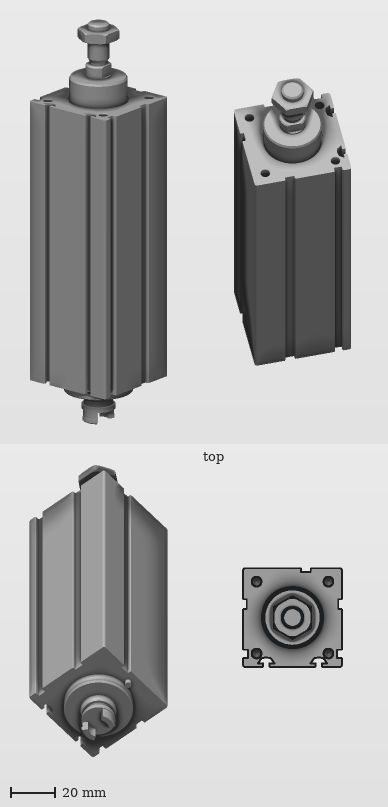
import cadquery as cq
import math

ROD_TOP = 189.8
NUT_TOP = 186.8
NUT_BOTTOM = 182.2
THREAD_BOTTOM = 173.1
NECK_TOP = 171.4
FLATS_TOP = 170.3
FLATS_BOTTOM = 165.1
COLLAR_TOP = 164.4
HOUSING_TOP = 153.2
HOUSING_BOTTOM = 20.0
RING_BOTTOM = 14.2
HUB_BOTTOM = 5.7

PLUS_X_SIDE = 90
PLUS_Y_SIDE = 180
MINUS_X_SIDE = 270

HOUSING_WIDTH = 45.0
HALF_WIDTH = HOUSING_WIDTH / 2
HOUSING_CORNER_RADIUS = 1.1
HOUSING_LENGTH = HOUSING_TOP - HOUSING_BOTTOM

MOUTH_CHAMFER = 0.4

SENSOR_SLOT_WIDTH = 4.4
SENSOR_SLOT_DEPTH = 1.7
SENSOR_SLOT_OFFSET = 6.0

LOW_SLOT_WIDTH = 3.6
LOW_SLOT_DEPTH = 2.3
LOW_SLOT_OFFSET = -16.5

T_SLOT_X = 12.0
T_SLOT_MOUTH_WIDTH = 2.8
T_SLOT_LIP = 1.7
T_SLOT_WIDTH = 7.4
T_SLOT_ROOF_WIDTH = 4.2
T_SLOT_SHOULDER = 4.0
T_SLOT_APEX = 4.4

CORNER_HOLE_OFFSET = 16.3
CORNER_HOLE_DIAMETER = 4.2
CORNER_HOLE_MOUTH = 4.5
CORNER_HOLE_DEPTH = 9.5
DRILL_POINT_ANGLE = 118.0

RECESS_DIAMETER = 27.9
RECESS_DEPTH = 1.0

COLLAR_DIAMETER = 26.5
COLLAR_CHAMFER = 0.5
COLLAR_CHAMFER_HEIGHT = 1.0
COLLAR_BOTTOM = HOUSING_TOP - RECESS_DEPTH

ROD_DIAMETER = 12.0
ROD_FLATS = 9.9
ROD_SHOULDER_CHAMFER = 0.5
THREAD_DIAMETER = 9.9
THREAD_TIP_CHAMFER = 0.8
NECK_DIAMETER = 8.0
NUT_SIDES = 6
NUT_ACROSS_FLATS = 16.9
NUT_FACE_DIAMETER = 17.7
NUT_BEVEL_ANGLE = 30

RING_DIAMETER = 31.5
RING_GROOVE_DIAMETER = 30.4
RING_GROOVE_TOP = 18.2
RING_GROOVE_BOTTOM = 17.0
RING_BAND_TOP = 15.4
RING_CHAMFER = 0.4

HUB_SHOULDER_DIAMETER = 16.5
HUB_SHOULDER_BOTTOM = 12.5
HUB_TAPER_BOTTOM = 10.8
HUB_DIAMETER = 15.4
HUB_NECK_DIAMETER = 13.3
HUB_NECK_BOTTOM = 8.0
CLAW_DIAMETER = 14.8
CLAW_LIP_TOP = 2.3
CLAW_INNER_DIAMETER = 9.5
CLAW_WIDTH = 8.5
CLAW_CHAMFER = 0.5

DOWEL_DIAMETER = 3.0
DOWEL_Y = 17.7
DOWEL_BOTTOM = 17.5


def revolved(radius_height_points):
    """Solid of revolution about Z; the points are (radius, z) and the axis closes the outline."""
    bottom = radius_height_points[0][1]
    top = radius_height_points[-1][1]
    return (
        cq.Workplane("XZ")
        .moveTo(0, bottom)
        .polyline(radius_height_points, includeCurrent=True)
        .lineTo(0, top)
        .close()
        .revolve(360, (0, 0), (0, 1))
    )


def mirrored_slot(right_half, middle=()):
    """Full-length cutter whose outline is right_half, then middle, then right_half mirrored in X."""
    left_half = [(-across, depth) for across, depth in reversed(right_half)]
    return (
        cq.Workplane("XY", origin=(0, 0, HOUSING_BOTTOM))
        .polyline([*right_half, *middle, *left_half])
        .close()
        .extrude(HOUSING_LENGTH)
    )


def side_slot(width, depth, offset, side_angle):
    """Full-length slot with a chamfered mouth.

    It is drawn opening at the -Y side, then turned about Z to the side at side_angle.
    """
    half = width / 2
    right_half = [(half + MOUTH_CHAMFER, 0), (half, MOUTH_CHAMFER), (half, depth)]
    slot = mirrored_slot(right_half).translate((offset, -HALF_WIDTH, 0))
    return slot.rotate((0, 0, 0), (0, 0, 1), side_angle)


def t_slot(x):
    """Full-length undercut slot opening at the -Y side."""
    mouth = T_SLOT_MOUTH_WIDTH / 2
    right_half = [
        (mouth + MOUTH_CHAMFER, 0),
        (mouth, MOUTH_CHAMFER),
        (mouth, T_SLOT_LIP),
        (T_SLOT_WIDTH / 2, T_SLOT_LIP),
        (T_SLOT_ROOF_WIDTH / 2, T_SLOT_SHOULDER),
    ]
    return mirrored_slot(right_half, [(0, T_SLOT_APEX)]).translate((x, -HALF_WIDTH, 0))


def corner_hole(x, y):
    """Blind drilled hole with a chamfered mouth and a conical bottom."""
    radius = CORNER_HOLE_DIAMETER / 2
    mouth_radius = CORNER_HOLE_MOUTH / 2
    bottom = HOUSING_TOP - CORNER_HOLE_DEPTH
    point_depth = radius / math.tan(math.radians(DRILL_POINT_ANGLE / 2))
    shaft = revolved([
        (radius, bottom),
        (radius, HOUSING_TOP - (mouth_radius - radius)),
        (mouth_radius, HOUSING_TOP),
    ])
    point = cq.Workplane(cq.Solid.makeCone(0, radius, point_depth, cq.Vector(0, 0, bottom - point_depth)))
    return shaft.union(point).translate((x, y, 0))


def make_housing():
    """Square profile with slots along its sides, corner holes and a recess for the collar."""
    body = (
        cq.Workplane("XY", origin=(0, 0, HOUSING_BOTTOM))
        .rect(HOUSING_WIDTH, HOUSING_WIDTH)
        .extrude(HOUSING_LENGTH)
        .edges("|Z")
        .fillet(HOUSING_CORNER_RADIUS)
    )
    body = body.cut(side_slot(SENSOR_SLOT_WIDTH, SENSOR_SLOT_DEPTH, -SENSOR_SLOT_OFFSET, PLUS_Y_SIDE))
    for side, side_angle in ((1, PLUS_X_SIDE), (-1, MINUS_X_SIDE)):
        sensor_offset = side * SENSOR_SLOT_OFFSET
        low_offset = side * LOW_SLOT_OFFSET
        body = body.cut(side_slot(SENSOR_SLOT_WIDTH, SENSOR_SLOT_DEPTH, sensor_offset, side_angle))
        body = body.cut(side_slot(LOW_SLOT_WIDTH, LOW_SLOT_DEPTH, low_offset, side_angle))
        body = body.cut(t_slot(side * T_SLOT_X))
        for end in (-1, 1):
            body = body.cut(corner_hole(side * CORNER_HOLE_OFFSET, end * CORNER_HOLE_OFFSET))
    recess = (
        cq.Workplane("XY", origin=(0, 0, COLLAR_BOTTOM))
        .circle(RECESS_DIAMETER / 2)
        .extrude(RECESS_DEPTH)
    )
    return body.cut(recess)


def make_collar():
    """Chamfered rod guide, standing in the housing recess with a gap around it."""
    radius = COLLAR_DIAMETER / 2
    body = revolved([
        (radius, COLLAR_BOTTOM),
        (radius, COLLAR_TOP - COLLAR_CHAMFER_HEIGHT),
        (radius - COLLAR_CHAMFER, COLLAR_TOP),
    ])
    bore = (
        cq.Workplane("XY", origin=(0, 0, COLLAR_BOTTOM))
        .circle(ROD_DIAMETER / 2)
        .extrude(COLLAR_TOP - COLLAR_BOTTOM)
    )
    return body.cut(bore)


def make_rod():
    """Piston rod: round shank, wrench flats, undercut neck and threaded end."""
    shank = ROD_DIAMETER / 2
    thread = THREAD_DIAMETER / 2
    neck = NECK_DIAMETER / 2
    body = revolved([
        (shank, COLLAR_BOTTOM),
        (shank, FLATS_TOP - ROD_SHOULDER_CHAMFER),
        (shank - ROD_SHOULDER_CHAMFER, FLATS_TOP),
        (neck, FLATS_TOP),
        (neck, NECK_TOP),
        (thread, THREAD_BOTTOM),
        (thread, ROD_TOP - THREAD_TIP_CHAMFER),
        (thread - THREAD_TIP_CHAMFER, ROD_TOP),
    ])
    for side in (-1, 1):
        flat = (
            cq.Workplane("XY", origin=(side * (ROD_FLATS + ROD_DIAMETER) / 2, 0, FLATS_BOTTOM))
            .rect(ROD_DIAMETER, ROD_DIAMETER)
            .extrude(FLATS_TOP - FLATS_BOTTOM)
        )
        body = body.cut(flat)
    return body


def make_nut():
    """Hexagon nut with two corners along Y and bevelled corners."""
    across_corners = NUT_ACROSS_FLATS / math.cos(math.pi / NUT_SIDES)
    prism = (
        cq.Workplane("XY", origin=(0, 0, NUT_BOTTOM))
        .transformed(rotate=(0, 0, 90))
        .polygon(NUT_SIDES, across_corners)
        .circle(THREAD_DIAMETER / 2)
        .extrude(NUT_TOP - NUT_BOTTOM)
    )
    corner = across_corners / 2
    face = NUT_FACE_DIAMETER / 2
    bevel_height = (corner - face) * math.tan(math.radians(NUT_BEVEL_ANGLE))
    bevels = revolved([
        (face, NUT_BOTTOM),
        (corner, NUT_BOTTOM + bevel_height),
        (corner, NUT_TOP - bevel_height),
        (face, NUT_TOP),
    ])
    return prism.intersect(bevels)


def make_rear_ring():
    """Ring under the housing with a V groove around it."""
    radius = RING_DIAMETER / 2
    return revolved([
        (radius - RING_CHAMFER, RING_BOTTOM),
        (radius, RING_BOTTOM + RING_CHAMFER),
        (radius, RING_BAND_TOP),
        (RING_GROOVE_DIAMETER / 2, RING_GROOVE_BOTTOM),
        (radius, RING_GROOVE_TOP),
        (radius, HOUSING_BOTTOM),
    ])


def make_claw_hub():
    """Stepped hub ending in two opposite drive claws, lipped at the tips, with radial sides."""
    radius = HUB_DIAMETER / 2
    neck = HUB_NECK_DIAMETER / 2
    claw = CLAW_DIAMETER / 2
    hub = revolved([
        (radius, HUB_BOTTOM),
        (radius, HUB_NECK_BOTTOM),
        (neck, HUB_NECK_BOTTOM),
        (neck, HUB_TAPER_BOTTOM),
        (radius, HUB_TAPER_BOTTOM),
        (HUB_SHOULDER_DIAMETER / 2, HUB_SHOULDER_BOTTOM),
        (HUB_SHOULDER_DIAMETER / 2, RING_BOTTOM),
    ])
    half_angle = math.asin(CLAW_WIDTH / HUB_DIAMETER)
    wedge_x = HUB_DIAMETER * math.sin(half_angle)
    wedge_y = HUB_DIAMETER * math.cos(half_angle)
    claw_ring = revolved([
        (radius - CLAW_CHAMFER, 0),
        (radius, CLAW_CHAMFER),
        (radius, CLAW_LIP_TOP),
        (claw, CLAW_LIP_TOP),
        (claw, HUB_BOTTOM),
    ]).cut(cq.Workplane("XY").circle(CLAW_INNER_DIAMETER / 2).extrude(HUB_BOTTOM))
    for side in (-1, 1):
        wedge = (
            cq.Workplane("XY")
            .polyline([(0, 0), (wedge_x, side * wedge_y), (-wedge_x, side * wedge_y)])
            .close()
            .extrude(HUB_BOTTOM)
        )
        hub = hub.union(claw_ring.intersect(wedge))
    return hub


def make_dowel():
    """Short locating pin under the housing, beside the rear ring."""
    return (
        cq.Workplane("XY", origin=(0, DOWEL_Y, DOWEL_BOTTOM))
        .circle(DOWEL_DIAMETER / 2)
        .extrude(HOUSING_BOTTOM - DOWEL_BOTTOM)
    )


housing = make_housing()
collar = make_collar()
rod = make_rod()
nut = make_nut()
rear_ring = make_rear_ring()
claw_hub = make_claw_hub()
dowel = make_dowel()

result = cq.Compound.makeCompound([
    housing.val(),
    collar.val(),
    rod.val(),
    nut.val(),
    rear_ring.val(),
    claw_hub.val(),
    dowel.val(),
])